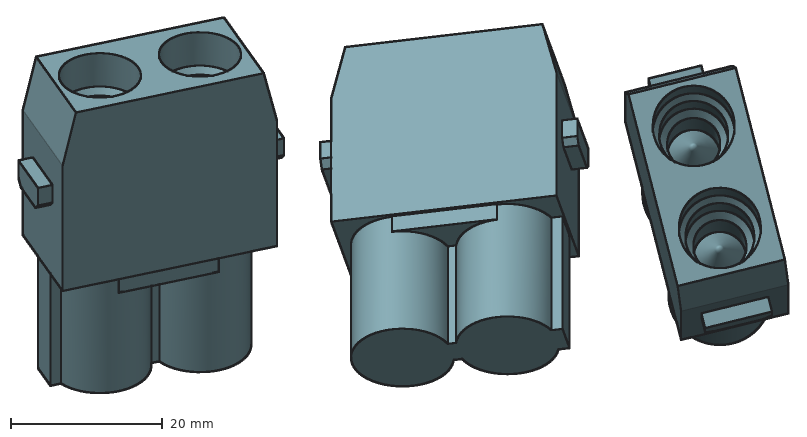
import cadquery as cq

total_height = 45.45
pole_pitch = 14.15
pole_positions = [-pole_pitch / 2, pole_pitch / 2]

block_thickness = 14.6
block_width = 30.3
block_bottom = 17.9
shoulder_height = 37.55
top_width = 26.55

sleeve_diameter = 13.6
web_thickness = 3.9
rib_thickness = 4.65
rib_reach = 14.95
plate_span = 13.8
plate_drop = 2.4

tab_to_tab = 34.4
tab_reach = tab_to_tab / 2
front_tab_width = 7.2
front_tab_bottom = 28.65
front_tab_top = 32.3
front_tab_chamfer = 0.9
back_tab_width = 9.1
back_tab_bottom = 29.0
back_tab_top = 32.7
back_tab_chamfer = 1.05

contact_diameter = 9.1
entry_diameter = 10.8
entry_depth = 5.23
entry_taper = (entry_diameter - contact_diameter) / 2

contact_top = 34.1
contact_bottom = 9.1
wire_diameter = 7.0
wire_depth = 9.1
mouth_taper = (contact_diameter - wire_diameter) / 2
cone_height = 6.8


def make_block():
    """Prismatic block whose two ends slope inwards above the shoulders."""
    half_width = block_width / 2
    half_top = top_width / 2
    outline = [
        (-half_width, block_bottom),
        (half_width, block_bottom),
        (half_width, shoulder_height),
        (half_top, total_height),
        (-half_top, total_height),
        (-half_width, shoulder_height),
    ]
    return cq.Workplane("YZ").polyline(outline).close().extrude(block_thickness / 2, both=True)


def make_lower_part():
    """Two round sleeves joined by a web, with an end rib and a plate across both sides."""
    sleeves = (
        cq.Workplane("XY")
        .pushPoints([(0, y) for y in pole_positions])
        .circle(sleeve_diameter / 2)
        .extrude(block_bottom)
    )
    web = cq.Workplane("XY").rect(web_thickness, pole_pitch).extrude(block_bottom)
    rib_start = pole_pitch / 2
    rib = (
        cq.Workplane("XY")
        .center(0, -(rib_start + rib_reach) / 2)
        .rect(rib_thickness, rib_reach - rib_start)
        .extrude(block_bottom)
    )
    plates = (
        cq.Workplane("XY", origin=(0, 0, block_bottom))
        .rect(plate_span, pole_pitch)
        .extrude(-plate_drop)
    )
    return sleeves.union(web).union(rib).union(plates)


def make_tab(width, bottom, top, chamfer, side):
    """Tab on the end at side * Y, with its two lower corners chamfered."""
    tab = (
        cq.Workplane("XY", origin=(0, side * tab_reach / 2, bottom))
        .rect(width, tab_reach)
        .extrude(top - bottom)
    )
    return tab.faces("<Z").edges("|Y").chamfer(chamfer)


def make_bore(y):
    """Wide entry, taper, then the straight seat that ends under the contact."""
    taper_top = total_height - entry_depth
    taper_bottom = taper_top - entry_taper
    profile = [
        (0, contact_bottom),
        (contact_diameter / 2, contact_bottom),
        (contact_diameter / 2, taper_bottom),
        (entry_diameter / 2, taper_top),
        (entry_diameter / 2, total_height),
        (0, total_height),
    ]
    return cq.Workplane("XZ").polyline(profile).close().revolve().translate((0, y, 0))


def make_housing():
    housing = make_block().union(make_lower_part())
    housing = housing.union(
        make_tab(front_tab_width, front_tab_bottom, front_tab_top, front_tab_chamfer, -1)
    )
    housing = housing.union(
        make_tab(back_tab_width, back_tab_bottom, back_tab_top, back_tab_chamfer, 1)
    )
    for y in pole_positions:
        housing = housing.cut(make_bore(y))
    return housing


def make_contact(y):
    """Round contact with a flared wire socket and a pointed cone on its floor."""
    socket_floor = contact_top - wire_depth
    profile = [
        (0, contact_bottom),
        (contact_diameter / 2, contact_bottom),
        (contact_diameter / 2, contact_top),
        (wire_diameter / 2, contact_top - mouth_taper),
        (wire_diameter / 2, socket_floor),
        (0, socket_floor + cone_height),
    ]
    return cq.Workplane("XZ").polyline(profile).close().revolve().translate((0, y, 0))


housing = make_housing()
contacts = [make_contact(y) for y in pole_positions]

result = cq.Compound.makeCompound([housing.val(), *[contact.val() for contact in contacts]])